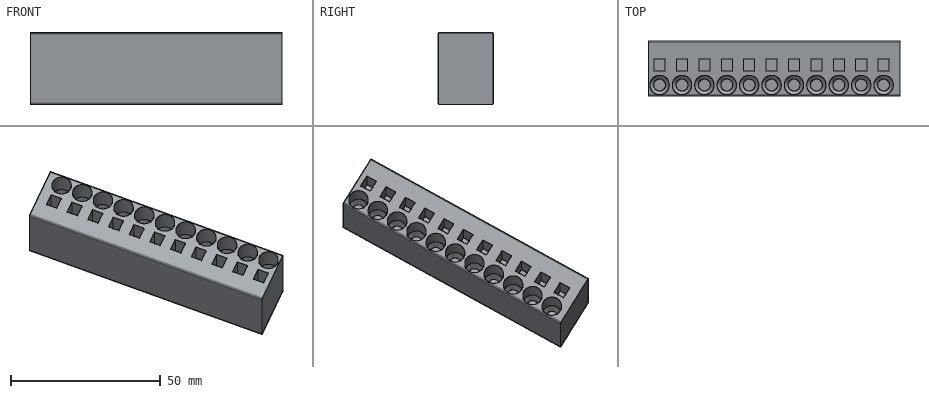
import cadquery as cq

LENGTH = 84.3
DEPTH = 18.5
HEIGHT = 24.1
EDGE_RADIUS = 0.46

POLE_COUNT = 11
PITCH = 7.5
FIRST_POLE_OFFSET = PITCH / 2

BORE_DIAMETER = 6.5
BORE_FLOOR_DIAMETER = 4.0
BORE_STRAIGHT_DEPTH = 8.4
BORE_CONE_DEPTH = 2.1
BORE_CENTER_OFFSET = 3.7

POCKET_WIDTH = 3.7
POCKET_LENGTH = 4.05
POCKET_DEPTH = BORE_STRAIGHT_DEPTH
POCKET_CENTER_OFFSET = 10.4


def pole_points(offset):
    """One point per pole, in a row at the given distance from the -Y side."""
    y = -DEPTH / 2 + offset
    first_x = -LENGTH / 2 + FIRST_POLE_OFFSET
    return [(first_x + i * PITCH, y) for i in range(POLE_COUNT)]


def make_housing():
    """Plain block with its four long edges rounded."""
    block = cq.Workplane("XY").box(LENGTH, DEPTH, HEIGHT, centered=(True, True, False))
    return block.edges("|X").fillet(EDGE_RADIUS)


def make_bores():
    """Round cutters: a straight bore, then a cone down to the flat floor."""
    floor_radius = BORE_FLOOR_DIAMETER / 2
    bore_radius = BORE_DIAMETER / 2
    floor_z = HEIGHT - BORE_STRAIGHT_DEPTH - BORE_CONE_DEPTH
    half_profile = [
        (0, floor_z),
        (floor_radius, floor_z),
        (bore_radius, floor_z + BORE_CONE_DEPTH),
        (bore_radius, HEIGHT),
        (0, HEIGHT),
    ]
    bore = cq.Workplane("XZ").polyline(half_profile).close().revolve(360, (0, 0), (0, 1)).val()
    points = pole_points(BORE_CENTER_OFFSET)
    return cq.Workplane("XY").pushPoints(points).eachpoint(lambda place: bore.moved(place))


def make_pockets():
    """Straight-walled rectangular cutters sunk from the top face."""
    return (
        cq.Workplane("XY")
        .workplane(offset=HEIGHT)
        .pushPoints(pole_points(POCKET_CENTER_OFFSET))
        .rect(POCKET_WIDTH, POCKET_LENGTH)
        .extrude(-POCKET_DEPTH)
    )


result = make_housing().cut(make_bores()).cut(make_pockets())